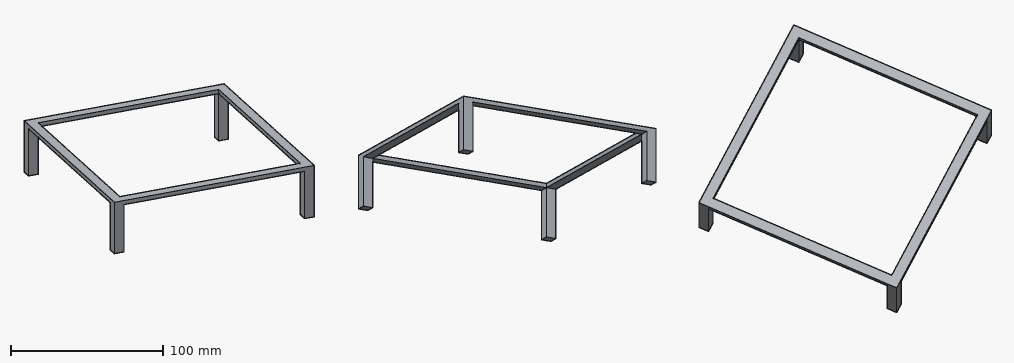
import cadquery as cq

side = 144.0
height = 37.0
bar_width = 7.0
frame_thickness = 3.0

opening = side - 2 * bar_width
leg_spacing = side - bar_width
leg_height = height - frame_thickness


def make_frame():
    """Flat square frame resting on top of the legs."""
    return (
        cq.Workplane("XY")
        .workplane(offset=leg_height)
        .rect(side, side)
        .rect(opening, opening)
        .extrude(frame_thickness)
    )


def make_legs():
    """Four square legs, flush with the frame corners and reaching its top."""
    return (
        cq.Workplane("XY")
        .rect(leg_spacing, leg_spacing, forConstruction=True)
        .vertices()
        .rect(bar_width, bar_width)
        .extrude(height)
    )


result = make_frame().union(make_legs()).clean()